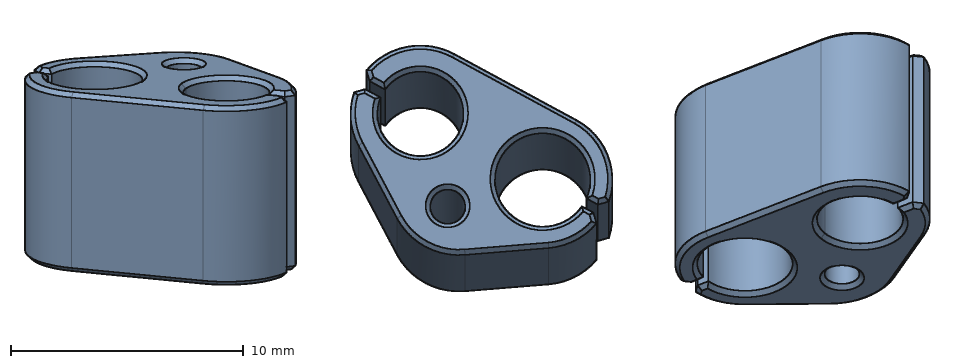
import cadquery as cq

HEIGHT = 8.0
EDGE_CHAMFER = 0.2

CLIP_SPACING = 6.0
APEX_Y = 2.0
CORNER_RADIUS = 3.0

LEFT_BORE_DIAMETER = 4.1
RIGHT_BORE_DIAMETER = 3.7
PIN_BORE_DIAMETER = 1.5
PIN_BORE_Y = 3.0

SLOT_WIDTH = 0.4
LEAD_IN = 0.4

CLIP_X = CLIP_SPACING / 2
OUTER_X = CLIP_X + CORNER_RADIUS


def make_body():
    """Triangular prism with fully rounded corners, standing on Z = 0."""
    corners = [(-CLIP_X, 0), (CLIP_X, 0), (0, APEX_Y)]
    return cq.Workplane("XY").polyline(corners).close().offset2D(CORNER_RADIUS, "arc").extrude(HEIGHT)


def make_bore(x, y, diameter):
    """Through bore cutter, turned so that its seam faces -X."""
    return (
        cq.Workplane("XY")
        .transformed(offset=(x, y, 0), rotate=(0, 0, 180))
        .circle(diameter / 2)
        .extrude(HEIGHT)
    )


def make_slot(side):
    """Slot from a clip bore outwards, flared at 45 degrees at its mouth; side is -1 or 1."""
    half_width = SLOT_WIDTH / 2
    mouth_half_width = half_width + LEAD_IN
    flare_x = OUTER_X - LEAD_IN
    outline = [
        (side * CLIP_X, -half_width),
        (side * flare_x, -half_width),
        (side * OUTER_X, -mouth_half_width),
        (side * OUTER_X, mouth_half_width),
        (side * flare_x, half_width),
        (side * CLIP_X, half_width),
    ]
    return cq.Workplane("XY").polyline(outline).close().extrude(HEIGHT)


result = make_body()
result = result.cut(make_bore(-CLIP_X, 0, LEFT_BORE_DIAMETER))
result = result.cut(make_bore(CLIP_X, 0, RIGHT_BORE_DIAMETER))
result = result.cut(make_bore(0, PIN_BORE_Y, PIN_BORE_DIAMETER))
for slot_side in (-1, 1):
    result = result.cut(make_slot(slot_side))

result = result.faces("<Z or >Z").edges().chamfer(EDGE_CHAMFER)